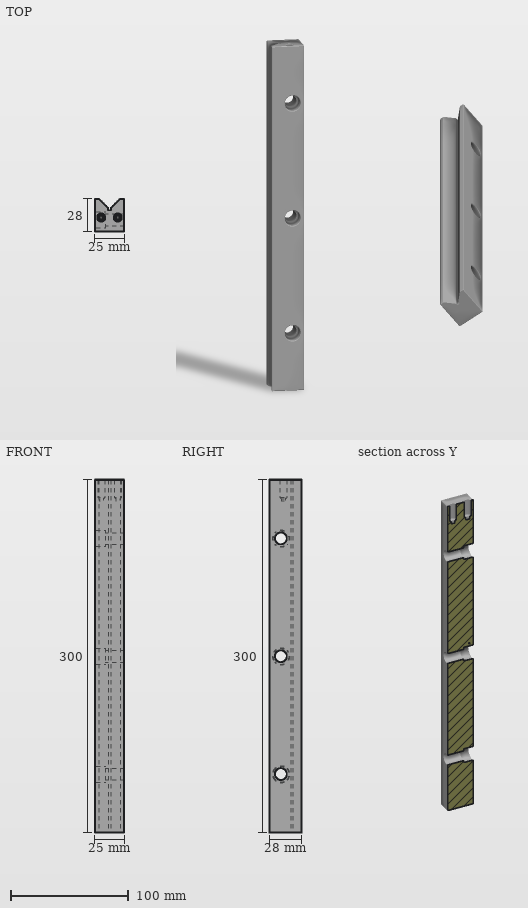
import cadquery as cq

length = 300.0
width = 25.0
depth = 28.0
edge_chamfer = 0.5
front_y = -depth / 2
back_y = depth / 2

groove_half_width = 9.0
groove_depth = 9.5
relief_half_width = 1.2

mouth_chamfer = edge_chamfer

cross_rows = (-1, 0, 1)
cross_pitch = length / 3
cross_y = -4.0
cross_diameter = 10.0
counterbore_diameter = 13.5
counterbore_depth = 9.0

end_hole_pitch = 14.0
end_hole_y = front_y + 12.0
end_hole_diameter = 6.0
end_hole_depth = 15.0
end_core_diameter = 3.3
end_core_depth = 18.0


def bar():
    return cq.Workplane("XY").box(width, depth, length).edges().chamfer(edge_chamfer)


def groove():
    flank_end = back_y - (groove_half_width - relief_half_width)
    root = back_y - groove_depth
    profile = (
        cq.Workplane("XY", origin=(0, 0, -length / 2))
        .moveTo(-groove_half_width, back_y)
        .lineTo(-relief_half_width, flank_end)
        .lineTo(-relief_half_width, root)
        .lineTo(relief_half_width, root)
        .lineTo(relief_half_width, flank_end)
        .lineTo(groove_half_width, back_y)
        .close()
    )
    return profile.extrude(length)


def cross_hole(z):
    """Counterbored cutter turned about X; outline points are (distance inward, radius)."""
    bore = counterbore_diameter / 2
    through = cross_diameter / 2
    outline = [
        (0, 0),
        (0, bore + mouth_chamfer),
        (mouth_chamfer, bore),
        (counterbore_depth, bore),
        (counterbore_depth, through),
        (width, through),
        (width, 0),
    ]
    return (
        cq.Workplane("XY", origin=(-width / 2, cross_y, z))
        .polyline(outline)
        .close()
        .revolve(360, (0, 0), (1, 0))
    )


def end_hole(x):
    """Cutter turned about Z, narrowing through a 45 degree cone to a flat-bottomed core."""
    bore = end_hole_diameter / 2
    core = end_core_diameter / 2
    cone_height = bore - core
    outline = [
        (0, 0),
        (bore + mouth_chamfer, 0),
        (bore, -mouth_chamfer),
        (bore, -end_hole_depth),
        (core, -end_hole_depth - cone_height),
        (core, -end_core_depth),
        (0, -end_core_depth),
    ]
    return (
        cq.Workplane("XZ", origin=(x, end_hole_y, length / 2))
        .polyline(outline)
        .close()
        .revolve(360, (0, 0), (0, 1))
    )


result = bar().cut(groove())
for row in cross_rows:
    result = result.cut(cross_hole(row * cross_pitch))
for side in (-1, 1):
    result = result.cut(end_hole(side * end_hole_pitch / 2))